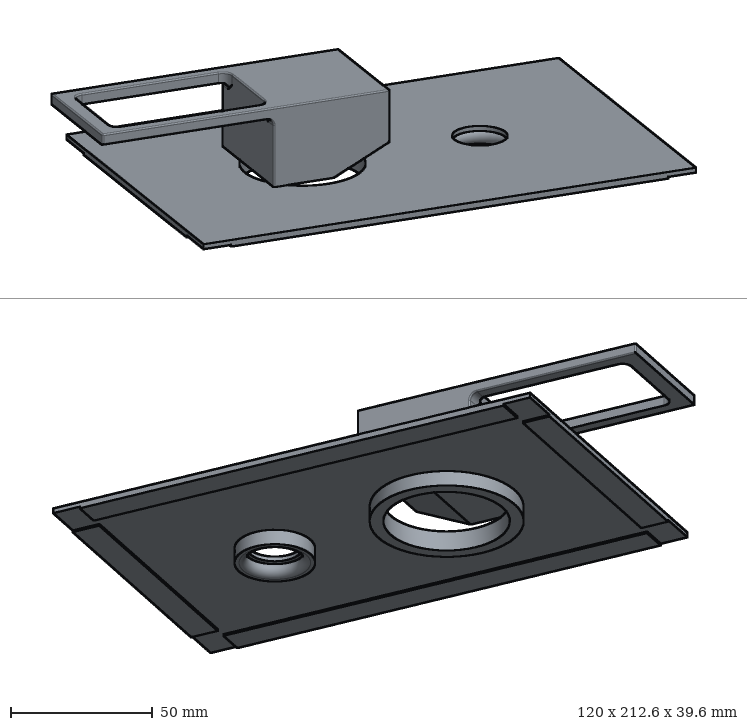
import cadquery as cq
import math


PLATE_WIDTH = 120.0
PLATE_LENGTH = 190.0
PANEL_THICKNESS = 2.0
PLATE_FRONT_Y = -64.5
PLATE_BACK_Y = PLATE_FRONT_Y + PLATE_LENGTH

RIM_HEIGHT = 0.6
RIM_WIDTH = 10.6
CORNER_GAP = 4.2

COLLAR_BELOW_RIM = 5.0
COLLAR_HEIGHT = COLLAR_BELOW_RIM + RIM_HEIGHT
PLATE_TOP_Z = COLLAR_HEIGHT + PANEL_THICKNESS
LARGE_COLLAR_RADIUS = 27.2
LARGE_BORE_RADIUS = 22.3
SMALL_COLLAR_RADIUS = 14.2
SMALL_BORE_RADIUS = 9.8
SMALL_COLLAR_Y = 68.5

HANDLE_WIDTH = 45.0
HANDLE_HEIGHT = 30.0
HANDLE_FRONT_Y = -87.1
BLOCK_DEPTH = 44.8
GRIP_LENGTH = 66.0
GRIP_THICKNESS = 4.0
HANDLE_GAP = 2.0
HANDLE_BOTTOM_Z = PLATE_TOP_Z + HANDLE_GAP
HANDLE_TOP_Z = HANDLE_BOTTOM_Z + HANDLE_HEIGHT
GRIP_BOTTOM_Z = HANDLE_TOP_Z - GRIP_THICKNESS
BLOCK_FRONT_Y = HANDLE_FRONT_Y + GRIP_LENGTH
BLOCK_BACK_Y = BLOCK_FRONT_Y + BLOCK_DEPTH
BACK_SLOPE_DEPTH = 21.7
BACK_SLOPE_HEIGHT = 10.5
NECK_FILLET = 2.8
EDGE_FILLET = 0.5

WINDOW_WIDTH = 35.3
FRONT_BAR = 6.2
WINDOW_CORNER_RADIUS = 3.6

BUTTON_RADIUS = 2.5
BUTTON_HEIGHT = 1.5
BUTTON_DROP = 14.0


def slab(width, length, height, center_x, front_y, bottom_z):
    """Rectangular block placed by its centre in X, its front face and its bottom face."""
    center_y = front_y + length / 2
    return cq.Workplane("XY", origin=(center_x, center_y, bottom_z)).box(
        width, length, height, centered=(True, True, False)
    )


def cylinder(radius, height, center_y, bottom_z):
    return cq.Workplane("XY", origin=(0, center_y, bottom_z)).circle(radius).extrude(height)


def rounded_collar():
    """Small collar whose bore bulges inward in a half round over its full height."""
    bulge_radius = COLLAR_HEIGHT / 2
    bulge_start = SMALL_BORE_RADIUS + bulge_radius
    return (
        cq.Workplane("XZ", origin=(0, SMALL_COLLAR_Y, 0))
        .moveTo(bulge_start, 0)
        .lineTo(SMALL_COLLAR_RADIUS, 0)
        .lineTo(SMALL_COLLAR_RADIUS, COLLAR_HEIGHT)
        .lineTo(bulge_start, COLLAR_HEIGHT)
        .threePointArc((SMALL_BORE_RADIUS, bulge_radius), (bulge_start, 0))
        .close()
        .revolve(360, (0, 0, 0), (0, 1, 0))
    )


def add_rims(panel):
    """Two strips along the long sides and two along the ends, narrowed to leave the corners open."""
    side_length = PLATE_LENGTH - 2 * RIM_WIDTH
    end_width = PLATE_WIDTH - 2 * (RIM_WIDTH + CORNER_GAP)
    side_x = (PLATE_WIDTH - RIM_WIDTH) / 2
    for x in (-side_x, side_x):
        panel = panel.union(
            slab(RIM_WIDTH, side_length, RIM_HEIGHT, x, PLATE_FRONT_Y + RIM_WIDTH, COLLAR_BELOW_RIM)
        )
    for front_y in (PLATE_FRONT_Y, PLATE_BACK_Y - RIM_WIDTH):
        panel = panel.union(slab(end_width, RIM_WIDTH, RIM_HEIGHT, 0, front_y, COLLAR_BELOW_RIM))
    return panel


def make_wall_plate():
    panel = slab(PLATE_WIDTH, PLATE_LENGTH, PANEL_THICKNESS, 0, PLATE_FRONT_Y, COLLAR_HEIGHT)
    plate = add_rims(panel)
    plate = plate.union(cylinder(LARGE_COLLAR_RADIUS, COLLAR_HEIGHT, 0, 0))
    plate = plate.cut(cylinder(LARGE_BORE_RADIUS, PLATE_TOP_Z, 0, 0))
    plate = plate.cut(cylinder(SMALL_BORE_RADIUS, PANEL_THICKNESS, SMALL_COLLAR_Y, COLLAR_HEIGHT))
    return plate.union(rounded_collar())


def handle_blank():
    """Side outline of block and grip, extruded across the width, with eased edges."""
    neck_inset = NECK_FILLET * (1 - math.sqrt(0.5))
    blank = (
        cq.Workplane("YZ")
        .moveTo(HANDLE_FRONT_Y, HANDLE_TOP_Z)
        .lineTo(HANDLE_FRONT_Y, GRIP_BOTTOM_Z)
        .lineTo(BLOCK_FRONT_Y - NECK_FILLET, GRIP_BOTTOM_Z)
        .threePointArc(
            (BLOCK_FRONT_Y - neck_inset, GRIP_BOTTOM_Z - neck_inset),
            (BLOCK_FRONT_Y, GRIP_BOTTOM_Z - NECK_FILLET),
        )
        .lineTo(BLOCK_FRONT_Y, HANDLE_BOTTOM_Z)
        .lineTo(BLOCK_BACK_Y - BACK_SLOPE_DEPTH, HANDLE_BOTTOM_Z)
        .lineTo(BLOCK_BACK_Y, HANDLE_BOTTOM_Z + BACK_SLOPE_HEIGHT)
        .lineTo(BLOCK_BACK_Y, HANDLE_TOP_Z)
        .close()
        .extrude(HANDLE_WIDTH / 2, both=True)
    )
    above_slope = cq.selectors.BoxSelector(
        (-HANDLE_WIDTH, HANDLE_FRONT_Y - EDGE_FILLET, HANDLE_BOTTOM_Z + BACK_SLOPE_HEIGHT + EDGE_FILLET),
        (HANDLE_WIDTH, BLOCK_BACK_Y + EDGE_FILLET, HANDLE_TOP_Z + EDGE_FILLET),
    )
    return blank.faces("<X or >X or >Z").edges(above_slope).fillet(EDGE_FILLET)


def window_cutter():
    """Rounded rectangle from the front bar back to the block, deep enough to clear the neck fillet."""
    depth = GRIP_THICKNESS + NECK_FILLET
    length = GRIP_LENGTH - FRONT_BAR
    cutter = slab(
        WINDOW_WIDTH, length, depth, 0, HANDLE_FRONT_Y + FRONT_BAR, HANDLE_TOP_Z - depth
    )
    return cutter.edges("|Z").fillet(WINDOW_CORNER_RADIUS)


def neck_relief():
    """Opening between the two neck fillets, which fade out along the rear window corners."""
    neck_bottom_z = GRIP_BOTTOM_Z - NECK_FILLET
    half_bottom = WINDOW_WIDTH / 2
    half_top = half_bottom - WINDOW_CORNER_RADIUS
    half_middle = (half_bottom + half_top) / 2
    corner_offset = WINDOW_CORNER_RADIUS * (1 - math.sqrt(0.75))
    fade_depth = math.sqrt(corner_offset * (2 * NECK_FILLET - corner_offset))
    middle_z = GRIP_BOTTOM_Z - fade_depth
    return (
        cq.Workplane("XZ", origin=(0, BLOCK_FRONT_Y, 0))
        .moveTo(-half_bottom, neck_bottom_z)
        .threePointArc((-half_middle, middle_z), (-half_top, GRIP_BOTTOM_Z))
        .lineTo(half_top, GRIP_BOTTOM_Z)
        .threePointArc((half_middle, middle_z), (half_bottom, neck_bottom_z))
        .close()
        .extrude(NECK_FILLET)
    )


def button():
    """Spherical cap standing on the back face of the block."""
    sphere_radius = (BUTTON_RADIUS**2 + BUTTON_HEIGHT**2) / (2 * BUTTON_HEIGHT)
    sphere_y = BLOCK_BACK_Y + BUTTON_HEIGHT - sphere_radius
    return cq.Workplane("XY", origin=(0, sphere_y, HANDLE_TOP_Z - BUTTON_DROP)).sphere(sphere_radius)


def make_handle():
    body = handle_blank().cut(window_cutter())
    body = body.faces(">Z").edges().fillet(EDGE_FILLET)
    return body.cut(neck_relief()).union(button())


wall_plate = make_wall_plate()
handle = make_handle()

result = cq.Compound.makeCompound([wall_plate.val(), handle.val()])